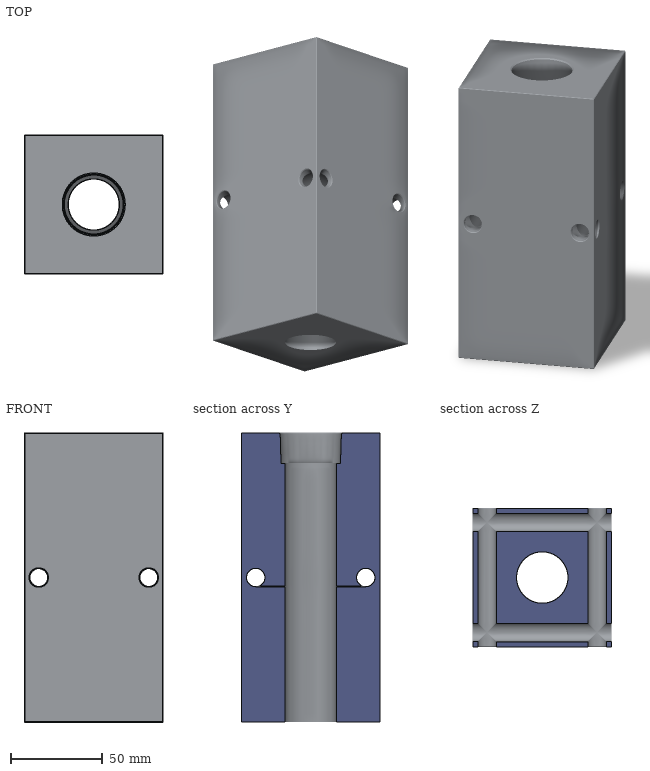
import cadquery as cq

width = 76.2
height = 158.8
edge_break = 0.3

bore_diameter = 28.0
port_mouth_diameter = 34.6
port_chamfer = 0.6
port_depth = 16.7
port_taper = 1 / 16

hole_diameter = 9.8
hole_chamfer = 0.4
hole_spacing = 60.3


def block():
    body = cq.Workplane("XY").rect(width, width).extrude(height)
    return body.edges().chamfer(edge_break)


def bore_and_port():
    """Through bore, tapered port and mouth chamfer, revolved as one tool."""
    bore_radius = bore_diameter / 2
    mouth_radius = port_mouth_diameter / 2
    taper_top_radius = mouth_radius - port_chamfer
    taper_length = port_depth - port_chamfer
    taper_end_radius = taper_top_radius - port_taper * taper_length / 2
    port_floor = height - port_depth
    return (
        cq.Workplane("XZ")
        .moveTo(0, 0)
        .lineTo(bore_radius, 0)
        .lineTo(bore_radius, port_floor)
        .lineTo(taper_end_radius, port_floor)
        .lineTo(taper_top_radius, height - port_chamfer)
        .lineTo(mouth_radius, height)
        .lineTo(0, height)
        .close()
        .revolve(360, (0, 0, 0), (0, 1, 0))
    )


def mounting_hole(offset):
    """Hole along Y at X = offset, chamfered where it meets both faces."""
    radius = hole_diameter / 2
    mouth_radius = radius + hole_chamfer
    half_width = width / 2
    straight_end = half_width - hole_chamfer
    profile = (
        cq.Workplane("XY")
        .moveTo(0, -half_width)
        .lineTo(mouth_radius, -half_width)
        .lineTo(radius, -straight_end)
        .lineTo(radius, straight_end)
        .lineTo(mouth_radius, half_width)
        .lineTo(0, half_width)
        .close()
    )
    hole = profile.revolve(360, (0, 0, 0), (0, 1, 0))
    return hole.translate((offset, 0, height / 2))


result = block().cut(bore_and_port())
for side in (-1, 1):
    hole_along_y = mounting_hole(side * hole_spacing / 2)
    hole_along_x = hole_along_y.rotate((0, 0, 0), (0, 0, 1), 90)
    result = result.cut(hole_along_y).cut(hole_along_x)